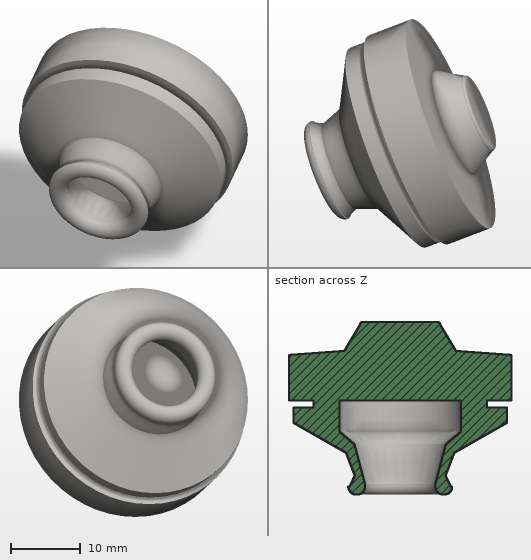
import cadquery as cq
import math

length = 24.8
centering_shift = -length / 2

mouth_radius = 5.0
bead_radius = 1.25
bead_center_radius = mouth_radius + bead_radius
bead_outer_radius = bead_center_radius + bead_radius
mouth_back_y = 1.55

lip_cone_radius = 7.25
waist_radius = 6.53
waist_y = 2.75
neck_base_radius = 7.78
neck_base_y = 6.0

flange_radius = 15.3
flange_front_y = 10.3
flange_back_y = 12.5

groove_radius = 12.48
groove_width = 1.0
groove_back_y = flange_back_y + groove_width

body_radius = 16.0
body_back_y = 20.05

boss_base_radius = 8.0
boss_base_y = 20.65
boss_tip_radius = 5.8
boss_round = 0.48
boss_round_y = length - boss_round
boss_face_radius = boss_tip_radius - boss_round

throat_back_radius = 6.5
throat_back_y = 7.23
chamber_radius = 8.65
chamber_front_y = 9.05
chamber_floor_y = groove_back_y


def round_midpoint(center_radius, center_y, radius, angle):
    """Point on a circular section, with the angle measured from the radial direction toward +Y."""
    direction = math.radians(angle)
    return (center_radius + radius * math.cos(direction), center_y + radius * math.sin(direction))


def cavity_profile(sketch):
    """Start the half section at the chamber floor and follow the cavity to the front of the bead."""
    bead_middle = round_midpoint(bead_center_radius, bead_radius, bead_radius, -135)
    return (
        sketch
        .moveTo(0, chamber_floor_y)
        .lineTo(chamber_radius, chamber_floor_y)
        .lineTo(chamber_radius, chamber_front_y)
        .lineTo(throat_back_radius, throat_back_y)
        .lineTo(mouth_radius, mouth_back_y)
        .lineTo(mouth_radius, bead_radius)
        .threePointArc(bead_middle, (bead_center_radius, 0))
    )


def outer_profile(sketch):
    """Continue the half section from the front of the bead over the outside to the rear axis point."""
    bead_middle = round_midpoint(bead_center_radius, bead_radius, bead_radius, -45)
    boss_round_middle = round_midpoint(boss_face_radius, boss_round_y, boss_round, 45)
    return (
        sketch
        .threePointArc(bead_middle, (bead_outer_radius, bead_radius))
        .lineTo(lip_cone_radius, bead_radius)
        .lineTo(waist_radius, waist_y)
        .lineTo(neck_base_radius, neck_base_y)
        .lineTo(flange_radius, flange_front_y)
        .lineTo(flange_radius, flange_back_y)
        .lineTo(groove_radius, flange_back_y)
        .lineTo(groove_radius, groove_back_y)
        .lineTo(body_radius, groove_back_y)
        .lineTo(body_radius, body_back_y)
        .lineTo(boss_base_radius, boss_base_y)
        .lineTo(boss_tip_radius, boss_round_y)
        .threePointArc(boss_round_middle, (boss_face_radius, length))
        .lineTo(0, length)
    )


half_section = outer_profile(cavity_profile(cq.Workplane("XY"))).close()
turned_part = half_section.revolve(360, (0, 0, 0), (0, 1, 0))

result = turned_part.translate((0, centering_shift, 0))